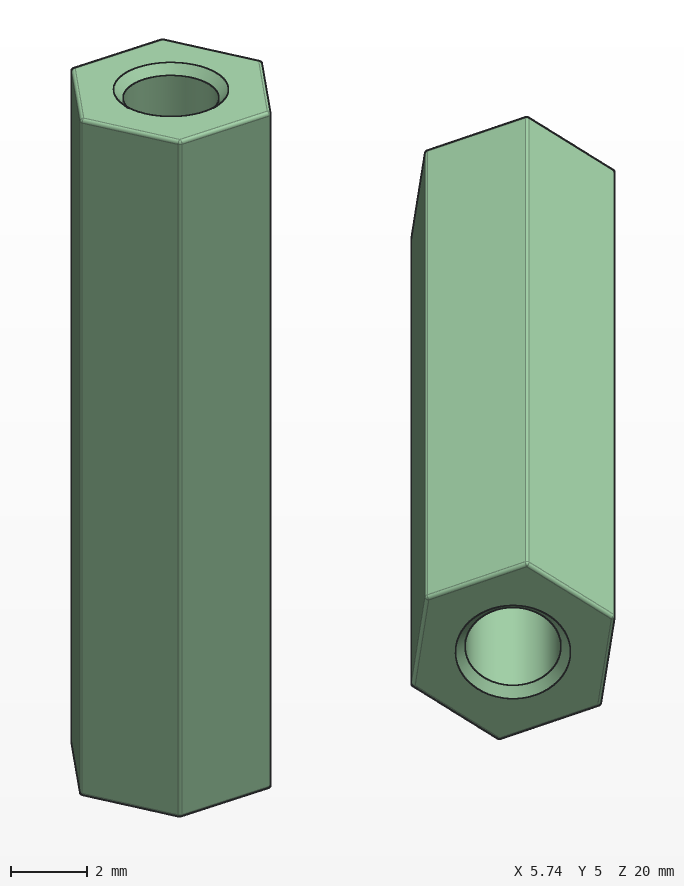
import cadquery as cq
import math

length = 20.0
across_flats = 5.0
edge_radius = 0.1

bore_diameter = 2.5
countersink_diameter = 3.0
countersink_depth = (countersink_diameter - bore_diameter) / 2

across_corners = across_flats / math.cos(math.pi / 6)


def make_body():
    """Hexagonal prism with corners on the X axis and every edge rounded."""
    prism = cq.Workplane("XY").polygon(6, across_corners).extrude(length)
    return prism.edges().fillet(edge_radius)


def make_bore():
    """Solid of revolution that clears the bore and both countersinks."""
    bore_radius = bore_diameter / 2
    mouth_radius = countersink_diameter / 2
    return (
        cq.Workplane("XZ")
        .moveTo(0, 0)
        .lineTo(mouth_radius, 0)
        .lineTo(bore_radius, countersink_depth)
        .lineTo(bore_radius, length - countersink_depth)
        .lineTo(mouth_radius, length)
        .lineTo(0, length)
        .close()
        .revolve(360, (0, 0, 0), (0, 1, 0))
    )


result = make_body().cut(make_bore())